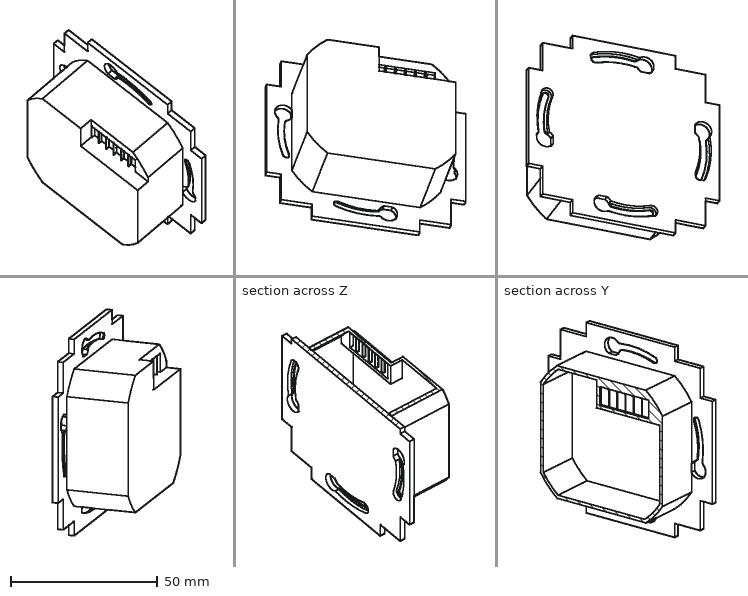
import cadquery as cq
import math

plate_size = 70.0
plate_thickness = 2.0
tab_width = 37.8
step_width = 59.7

slot_ring_radius = 29.9
slot_width = 2.25
slot_recess_width = 4.1
slot_lip_thickness = 0.5
slot_end_angle = 20.0
keyhole_angle = -15.0
keyhole_diameter = 6.45
keyhole_flat_distance = 26.05
keyhole_fillet_radius = 1.4

total_depth = 24.3
housing_width = 52.2
housing_height = 48.9
housing_corner_radius = 30.95
housing_depth = total_depth - plate_thickness

notch_left = -0.85
notch_bottom = 14.2
notch_depth = 5.1

window_count = 6
window_pitch = 3.5
window_width = 3.15
last_window_right = 20.1
window_top = 20.9

wall_thickness = 1.4


def front_plane(y):
    """Plane across Y whose local axes are X and Z; it extrudes toward -Y."""
    return cq.Workplane("XZ", origin=(0, y, 0))


def ring_point(radius, angle):
    """Point at the radius from the plate centre, at the angle from +Z toward +X."""
    angle = math.radians(angle)
    return (radius * math.sin(angle), radius * math.cos(angle))


def make_curved_slot(width, depth):
    """Round-ended slot along the slot ring, from the keyhole centre, cut from the rear of the plate."""
    inner = slot_ring_radius - width / 2
    outer = slot_ring_radius + width / 2
    middle_angle = (keyhole_angle + slot_end_angle) / 2
    end_centre = cq.Vector(*ring_point(slot_ring_radius, slot_end_angle))
    along_ring = cq.Vector(*ring_point(width / 2, slot_end_angle + 90))
    end_tip = (end_centre + along_ring).toTuple()[:2]
    return (
        front_plane(plate_thickness)
        .moveTo(*ring_point(inner, keyhole_angle))
        .lineTo(*ring_point(outer, keyhole_angle))
        .threePointArc(ring_point(outer, middle_angle), ring_point(outer, slot_end_angle))
        .threePointArc(end_tip, ring_point(inner, slot_end_angle))
        .threePointArc(ring_point(inner, middle_angle), ring_point(inner, keyhole_angle))
        .close()
        .extrude(depth)
    )


def make_keyhole_slot():
    """Slot at the top of the plate: a flattened round hole that runs into a curved slot.

    Behind a thin front lip, the curved slot widens into a recess for a screw head.
    """
    rear = front_plane(plate_thickness)
    keyhole_centre = ring_point(slot_ring_radius, keyhole_angle)
    keyhole = rear.moveTo(*keyhole_centre).circle(keyhole_diameter / 2).extrude(plate_thickness)
    slot = keyhole.union(make_curved_slot(slot_width, plate_thickness))

    neck_angle = keyhole_angle + math.degrees(keyhole_diameter / 2 / slot_ring_radius)
    neck_x, neck_z = ring_point(slot_ring_radius, neck_angle)
    neck = cq.selectors.BoxSelector(
        (neck_x - slot_width, 0, neck_z - slot_width),
        (neck_x + slot_width, plate_thickness, neck_z + slot_width),
    )
    slot = slot.edges("|Y").edges(neck).fillet(keyhole_fillet_radius)

    slot = slot.union(make_curved_slot(slot_recess_width, plate_thickness - slot_lip_thickness))
    above_flat = (
        rear.center(0, keyhole_flat_distance + plate_size / 2)
        .rect(plate_size, plate_size)
        .extrude(plate_thickness)
    )
    return slot.intersect(above_flat)


def make_plate():
    """Stepped square plate with a keyhole slot near each side."""
    tabs_across = front_plane(plate_thickness).rect(plate_size, tab_width).extrude(plate_thickness)
    tabs_upright = front_plane(plate_thickness).rect(tab_width, plate_size).extrude(plate_thickness)
    middle = front_plane(plate_thickness).rect(step_width, step_width).extrude(plate_thickness)
    plate = middle.union(tabs_across).union(tabs_upright)

    top_slot = make_keyhole_slot()
    left_slot = top_slot.mirror("YZ").rotate((0, 0, 0), (0, 1, 0), -90)
    for slot in (top_slot, left_slot):
        opposite_slot = slot.rotate((0, 0, 0), (0, 1, 0), 180)
        plate = plate.cut(slot).cut(opposite_slot)
    return plate


def make_housing_block(inset):
    """Housing outline, moved inward by the inset on the front and all four sides."""
    depth = housing_depth - inset
    block = front_plane(0).rect(housing_width - 2 * inset, housing_height - 2 * inset).extrude(depth)
    return block.intersect(front_plane(0).circle(housing_corner_radius - inset).extrude(depth))


def make_notch(margin):
    """Notch at the upper right front corner, widened by the margin to the left, bottom and rear."""
    return cq.Workplane("XY").box(
        housing_width, notch_depth + margin, housing_height, centered=False
    ).translate((notch_left - margin, -housing_depth, notch_bottom - margin))


def make_housing():
    cavity = make_housing_block(wall_thickness).cut(make_notch(wall_thickness))
    housing = make_housing_block(0).cut(make_notch(0)).cut(cavity)
    notch_back = notch_depth - housing_depth
    for i in range(window_count):
        window_left = last_window_right - window_width - i * window_pitch
        window = cq.Workplane("XY").box(
            window_width, wall_thickness, window_top - notch_bottom, centered=False
        ).translate((window_left, notch_back, notch_bottom))
        housing = housing.cut(window)
    return housing


plate = make_plate()
housing = make_housing()
result = cq.Compound.makeCompound([plate.val(), housing.val()])